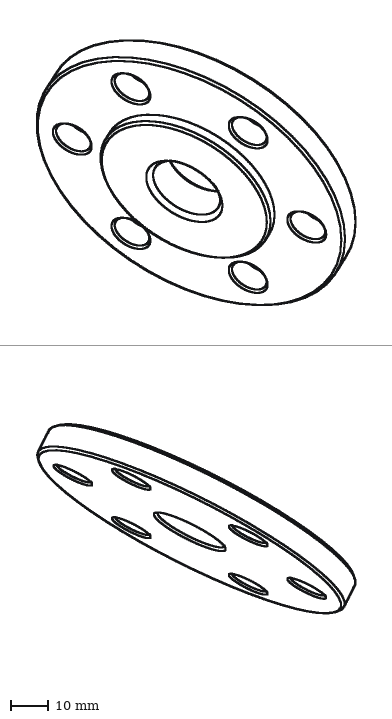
import cadquery as cq
import math

flange_diameter = 92.1
total_thickness = 11.2
boss_height = 3.2
flange_thickness = total_thickness - boss_height
boss_diameter = 50.7
edge_chamfer = 0.7

bore_diameter = 20.0
bore_front_chamfer = 1.4
bore_back_chamfer = 0.7

bolt_hole_count = 6
bolt_hole_diameter = 10.3
bolt_circle_diameter = 70.0
bolt_hole_chamfer = 0.6


def disc(diameter, start_y, end_y):
    """Solid cylinder about the Y axis between two Y positions."""
    return cq.Workplane("XZ", origin=(0, start_y, 0)).circle(diameter / 2).extrude(start_y - end_y)


def chamfered_hole(diameter, front_chamfer, back_chamfer, front_y, x=0, z=0):
    """Cutter for a through hole, chamfered at 45 degrees at the front and back faces."""
    radius = diameter / 2
    profile = [
        (0, front_y),
        (radius + front_chamfer, front_y),
        (radius, front_y + front_chamfer),
        (radius, flange_thickness - back_chamfer),
        (radius + back_chamfer, flange_thickness),
        (0, flange_thickness),
    ]
    cutter = cq.Workplane("XY").polyline(profile).close().revolve(360, (0, 0), (0, 1))
    return cutter.translate((x, 0, z))


flange = disc(flange_diameter, flange_thickness, 0).edges().chamfer(edge_chamfer)
boss = disc(boss_diameter, flange_thickness / 2, -boss_height).faces("<Y").edges().chamfer(edge_chamfer)
body = flange.union(boss)

body = body.cut(chamfered_hole(bore_diameter, bore_front_chamfer, bore_back_chamfer, -boss_height))

for index in range(bolt_hole_count):
    angle = 2 * math.pi * index / bolt_hole_count
    hole_x = bolt_circle_diameter / 2 * math.cos(angle)
    hole_z = bolt_circle_diameter / 2 * math.sin(angle)
    bolt_hole = chamfered_hole(
        bolt_hole_diameter, bolt_hole_chamfer, bolt_hole_chamfer, 0, hole_x, hole_z
    )
    body = body.cut(bolt_hole)

result = body